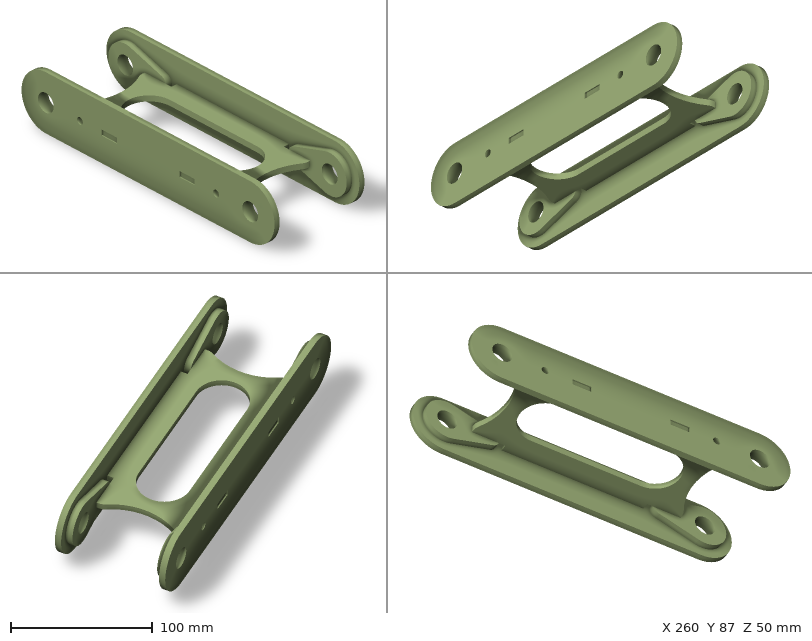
import cadquery as cq
import math

LENGTH = 260.0
WIDTH = 87.0
PLATE_HEIGHT = 50.0
PLATE_THICKNESS = 5.0

END_RADIUS = PLATE_HEIGHT / 2
PIVOT_X = LENGTH / 2 - END_RADIUS
PIVOT_DIAMETER = 16.0

BOSS_THICKNESS = 5.2
BOSS_RADIUS = 17.5
BOSS_TIP_RADIUS = 7.3
BOSS_TIP_X = 70.0

PIN_HOLE_DIAMETER = 6.0

WEB_THICKNESS = 5.0
WEB_HALF_LENGTH = 85.0
WEB_SHOULDER_HALF_LENGTH = 57.7
WEB_WAIST_HALF_LENGTH = 76.5
WEB_END_ARC_RADIUS = 52.0
WEB_CORNER_RADIUS = 9.0
WINDOW_LENGTH = 130.0
WINDOW_WIDTH = 40.0

TAB_X = 40.0
TAB_LENGTH = 15.9
TAB_RECESS = 1.0
TAB_EDGE_RADIUS = 1.3

PLATE_INNER_Y = WIDTH / 2 - PLATE_THICKNESS
BOSS_INNER_Y = PLATE_INNER_Y - BOSS_THICKNESS

SIDES = (-1, 1)


def centered_box(x, y, length, width, height):
    """Box centred on (x, y) at mid-height."""
    return cq.Workplane("XY").box(length, width, height).translate((x, y, 0))


def y_cylinder(x, diameter, y_start, depth):
    """Cylinder along +Y at mid-height."""
    base = cq.Workplane("XZ", origin=(x, y_start, 0))
    return base.circle(diameter / 2).extrude(-depth)


def make_plate(side):
    """Round-ended plate with pivot holes, pin holes and slots for the web tabs."""
    y_start = PLATE_INNER_Y if side > 0 else -WIDTH / 2
    y_center = y_start + PLATE_THICKNESS / 2
    plate = cq.Workplane("XZ", origin=(0, y_start, 0)).slot2D(LENGTH, PLATE_HEIGHT).extrude(-PLATE_THICKNESS)
    for end in SIDES:
        plate = plate.cut(y_cylinder(end * PIVOT_X, PIVOT_DIAMETER, y_start, PLATE_THICKNESS))
        plate = plate.cut(y_cylinder(end * BOSS_TIP_X, PIN_HOLE_DIAMETER, y_start, PLATE_THICKNESS))
        plate = plate.cut(centered_box(end * TAB_X, y_center, TAB_LENGTH, PLATE_THICKNESS, WEB_THICKNESS))
    return plate


def make_boss(end, side):
    """Teardrop: two circles joined by their common tangents, bored at the pivot."""
    y_start = BOSS_INNER_Y if side > 0 else -PLATE_INNER_Y
    slope = (BOSS_RADIUS - BOSS_TIP_RADIUS) / (PIVOT_X - BOSS_TIP_X)
    rise = math.sqrt(1 - slope ** 2)

    def tangent_point(x, radius, top):
        return (end * (x - radius * slope), top * radius * rise)

    outline = (
        cq.Workplane("XZ", origin=(0, y_start, 0))
        .moveTo(*tangent_point(PIVOT_X, BOSS_RADIUS, 1))
        .threePointArc((end * (PIVOT_X + BOSS_RADIUS), 0), tangent_point(PIVOT_X, BOSS_RADIUS, -1))
        .lineTo(*tangent_point(BOSS_TIP_X, BOSS_TIP_RADIUS, -1))
        .threePointArc((end * (BOSS_TIP_X - BOSS_TIP_RADIUS), 0), tangent_point(BOSS_TIP_X, BOSS_TIP_RADIUS, 1))
        .close()
    )
    boss = outline.extrude(-BOSS_THICKNESS)
    return boss.cut(y_cylinder(end * PIVOT_X, PIVOT_DIAMETER, y_start, BOSS_THICKNESS))


def make_tab_bar(x):
    """Bar across the web whose two ends are a pair of opposite tabs with rounded corners."""
    bar = centered_box(x, 0, TAB_LENGTH, WIDTH - 2 * TAB_RECESS, WEB_THICKNESS)
    return bar.edges("|Z").fillet(TAB_EDGE_RADIUS)


def make_web():
    """Flat web with concave ends, a central window and tabs that enter the plates."""
    web = centered_box(0, 0, 2 * WEB_HALF_LENGTH, 2 * BOSS_INNER_Y, WEB_THICKNESS)

    end_arc_x = WEB_WAIST_HALF_LENGTH + WEB_END_ARC_RADIUS
    end_cutters = (
        cq.Workplane("XY")
        .pushPoints([(end * end_arc_x, 0) for end in SIDES])
        .circle(WEB_END_ARC_RADIUS)
        .extrude(WEB_THICKNESS, both=True)
    )
    web = web.cut(end_cutters)
    web = web.edges("|Z").edges("not (<Y or >Y)").edges("<X or >X").fillet(WEB_CORNER_RADIUS)

    web = web.union(centered_box(0, 0, 2 * WEB_SHOULDER_HALF_LENGTH, 2 * PLATE_INNER_Y, WEB_THICKNESS))
    for end in SIDES:
        web = web.union(make_tab_bar(end * TAB_X))

    window = cq.Workplane("XY").slot2D(WINDOW_LENGTH, WINDOW_WIDTH).extrude(WEB_THICKNESS, both=True)
    return web.cut(window)


plates = [make_plate(side) for side in SIDES]
bosses = [make_boss(end, side) for side in SIDES for end in SIDES]
web = make_web()

result = cq.Compound.makeCompound([body.val() for body in [*plates, *bosses, web]])